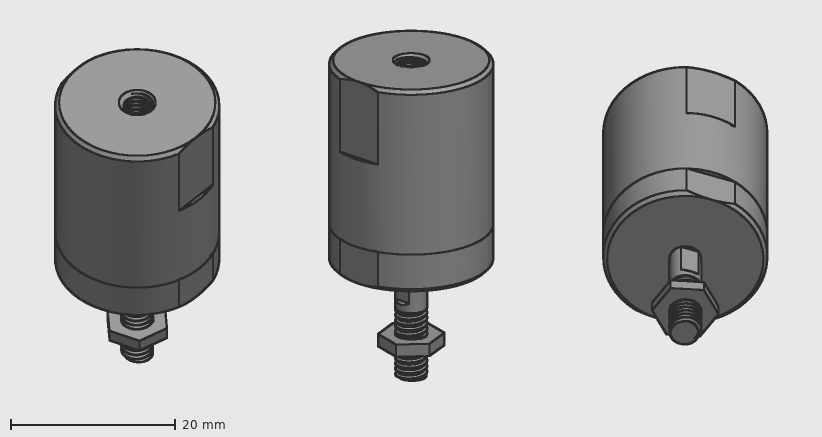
import cadquery as cq
import math

total_height = 41.5
body_diameter = 20.0
body_flat_width = 19.0
edge_chamfer = 0.5

nut_bottom = 4.0
nut_height = 1.6
thread_top = 9.0
neck_flat_bottom = 9.95
cap_bottom = 15.0
cap_top = 20.0
body_flat_height = 10.0

stud_diameter = 3.9
stud_root_diameter = 3.1
neck_flat_width = 3.2

nut_across_flats = 7.0
nut_turn = 15
nut_bore_clearance = 0.05

hole_diameter = 3.3
hole_thread_diameter = 3.9
hole_mouth_diameter = 4.5
hole_depth = 8.3
drill_point_angle = 118

pitch = 0.7
crest_flat = pitch / 8
flank_angle = 30
thread_overlap = 0.05


def cylinder(diameter, bottom, top):
    return cq.Workplane("XY").workplane(offset=bottom).circle(diameter / 2).extrude(top - bottom)


def flats_slab(width, bottom, top):
    """Slab that leaves two flats facing -X and +X on a round body."""
    return cq.Workplane("XY").workplane(offset=bottom).rect(width, 2 * body_diameter).extrude(top - bottom)


def helical_ridge(base_diameter, tip_diameter, bottom, top):
    """V-shaped ridge that winds up the Z axis, narrowing from its base to its flat tip."""
    base_radius = base_diameter / 2
    tip_radius = tip_diameter / 2
    taper = abs(tip_radius - base_radius) * math.tan(math.radians(flank_angle))
    half_tip = crest_flat / 2
    half_base = half_tip + taper
    helix = cq.Wire.makeHelix(pitch, top - bottom, base_radius)
    ridge = (
        cq.Workplane("XZ")
        .moveTo(base_radius, -half_base)
        .lineTo(tip_radius, -half_tip)
        .lineTo(tip_radius, half_tip)
        .lineTo(base_radius, half_base)
        .close()
        .sweep(cq.Workplane(obj=helix), isFrenet=True)
    )
    return ridge.translate((0, 0, bottom))


def threaded_rod(root_diameter, crest_diameter, bottom, top):
    """Round core with a helical ridge that runs past both ends and is trimmed to them."""
    ridge = helical_ridge(root_diameter - thread_overlap, crest_diameter, bottom - pitch, top + pitch)
    ridge = ridge.intersect(cylinder(2 * crest_diameter, bottom, top))
    return cylinder(root_diameter, bottom, top).union(ridge)


def cone(diameter, base, tip):
    """Cone on the Z axis, with its wide end at the height base and its point at the height tip."""
    return (
        cq.Workplane("XZ")
        .moveTo(0, base)
        .lineTo(diameter / 2, base)
        .lineTo(0, tip)
        .close()
        .revolve(360, (0, 0, 0), (0, 1, 0))
    )


def make_housing():
    """Round housing with two flats at its top and a tapped hole in its top face."""
    housing = cylinder(body_diameter, cap_top, total_height).faces(">Z").chamfer(edge_chamfer)
    flat_bottom = total_height - body_flat_height
    outside_flats = cylinder(2 * body_diameter, flat_bottom, total_height).cut(
        flats_slab(body_flat_width, flat_bottom, total_height)
    )
    housing = housing.cut(outside_flats)

    hole_bottom = total_height - hole_depth
    point_height = hole_diameter / 2 / math.tan(math.radians(drill_point_angle / 2))
    housing = housing.cut(threaded_rod(hole_diameter, hole_thread_diameter, hole_bottom, total_height))
    housing = housing.cut(cone(hole_diameter, hole_bottom, hole_bottom - point_height))
    return housing.cut(cone(hole_mouth_diameter, total_height, total_height - hole_mouth_diameter / 2))


def make_cap():
    """End cap that closes the housing, with flats along its full height and a bore for the stud."""
    cap = cylinder(body_diameter, cap_bottom, cap_top).faces("<Z").chamfer(edge_chamfer)
    cap = cap.intersect(flats_slab(body_flat_width, cap_bottom, cap_top))
    return cap.cut(cylinder(stud_diameter, cap_bottom, cap_top))


def make_stud():
    """Stud with a thread at its free end and a flatted neck below the cap."""
    rod = threaded_rod(stud_root_diameter, stud_diameter, 0, thread_top)
    shank = cylinder(stud_diameter, thread_top, cap_top)
    half_flat = neck_flat_width / 2
    flat_depth = stud_diameter / 2 - half_flat
    cutter = (
        cq.Workplane("XZ")
        .moveTo(half_flat, cap_bottom)
        .lineTo(half_flat, neck_flat_bottom + flat_depth)
        .lineTo(stud_diameter / 2, neck_flat_bottom)
        .lineTo(stud_diameter / 2, cap_bottom)
        .close()
        .extrude(stud_diameter / 2, both=True)
    )
    shank = shank.cut(cutter).cut(cutter.mirror("YZ"))
    return rod.union(shank)


def make_nut():
    """Hexagonal nut around the thread of the stud."""
    corner_diameter = nut_across_flats / math.cos(math.radians(30))
    bore_radius = (stud_diameter + nut_bore_clearance) / 2
    nut = cq.Workplane("XY").polygon(6, corner_diameter).circle(bore_radius).extrude(nut_height)
    return nut.rotate((0, 0, 0), (0, 0, 1), nut_turn).translate((0, 0, nut_bottom))


housing = make_housing()
cap = make_cap()
stud = make_stud()
nut = make_nut()
result = cq.Compound.makeCompound([housing.val(), cap.val(), stud.val(), nut.val()])